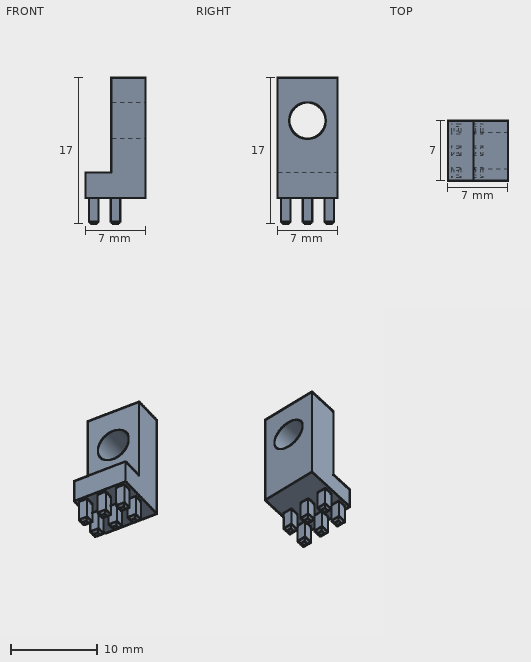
import cadquery as cq

total_height = 17.0
body_width = 7.0
pin_length = 3.0

base_height = 3.0
plate_thickness = 4.0

hole_diameter = 4.2
hole_below_top = 5.0

pin_side = 1.14
pin_pitch = 2.53
tip_height = 0.3
tip_inset = 0.3
pin_columns_x = (-pin_pitch, 0)
pin_rows_y = (-pin_pitch, 0, pin_pitch)

body_height = total_height - pin_length
half_width = body_width / 2
plate_front_x = half_width - plate_thickness


def make_body():
    """Extrude the L profile across the full width."""
    return (
        cq.Workplane("XZ")
        .moveTo(-half_width, 0)
        .lineTo(half_width, 0)
        .lineTo(half_width, body_height)
        .lineTo(plate_front_x, body_height)
        .lineTo(plate_front_x, base_height)
        .lineTo(-half_width, base_height)
        .close()
        .extrude(half_width, both=True)
    )


def make_hole():
    """Cylinder along X that passes through the upright plate."""
    return (
        cq.Workplane("YZ", origin=(plate_front_x, 0, body_height - hole_below_top))
        .circle(hole_diameter / 2)
        .extrude(plate_thickness)
    )


def make_pin(x, y):
    """Square pin hanging from the underside, chamfered around its tip."""
    return (
        cq.Workplane("XY", origin=(x, y, 0))
        .rect(pin_side, pin_side)
        .extrude(-pin_length)
        .faces("<Z")
        .chamfer(tip_height, tip_inset)
    )


result = make_body().cut(make_hole())
for pin_x in pin_columns_x:
    for pin_y in pin_rows_y:
        result = result.union(make_pin(pin_x, pin_y))